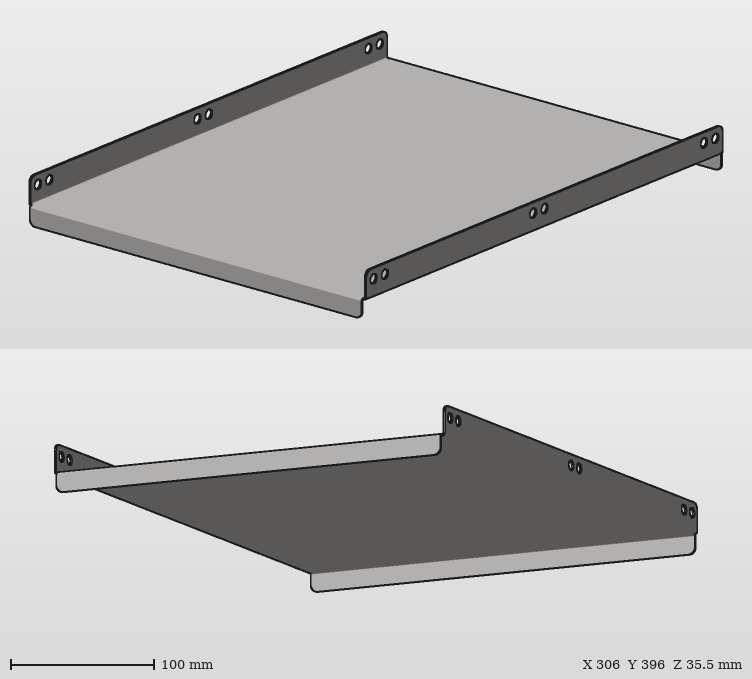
import cadquery as cq

THICKNESS = 1.5
INNER_BEND = 1.0
OUTER_BEND = INNER_BEND + THICKNESS

WIDTH = 306.0
LENGTH = 396.0
SIDE_FLANGE_HEIGHT = 22.0
END_FLANGE_DEPTH = 15.0
CORNER_RADIUS = 5.0

FLAT_WIDTH = WIDTH - 2 * OUTER_BEND
FLAT_LENGTH = LENGTH - 2 * OUTER_BEND

HOLE_DIAMETER = 7.3
HOLE_DROP = 8.0
HOLE_PITCH = 12.5
HOLE_END_MARGIN = 8.0


def flange_profile(bend_start, height):
    """L-shaped strip that leaves the flat plate at bend_start and folds towards +height.

    Local x runs outwards from the middle of the plate; local y is measured
    from the plate face on the outside of the bend.
    """
    outer_face = bend_start + OUTER_BEND
    inner_face = bend_start + INNER_BEND
    return (
        cq.Workplane("XZ")
        .moveTo(bend_start, 0)
        .radiusArc((outer_face, OUTER_BEND), -OUTER_BEND)
        .lineTo(outer_face, height)
        .lineTo(inner_face, height)
        .lineTo(inner_face, OUTER_BEND)
        .radiusArc((bend_start, THICKNESS), INNER_BEND)
        .close()
    )


def make_flange(bend_start, height, length):
    """Upward flange on the +X side, centred along Y, resting on Z = 0."""
    flange = flange_profile(bend_start, height).extrude(length / 2, both=True)
    return flange.edges("|X").edges(">Z").fillet(CORNER_RADIUS)


def make_side_holes():
    """Cylinders along X that pierce both side flanges.

    There are three pairs: one near each end, and one with its first hole on
    the centre line; the second hole of each pair is one pitch towards -Y.
    """
    outermost = FLAT_LENGTH / 2 - HOLE_END_MARGIN
    pair_starts = [outermost, 0, -outermost + HOLE_PITCH]
    hole_height = SIDE_FLANGE_HEIGHT - HOLE_DROP
    centres = []
    for start in pair_starts:
        centres.append((start, hole_height))
        centres.append((start - HOLE_PITCH, hole_height))
    return cq.Workplane("YZ").pushPoints(centres).circle(HOLE_DIAMETER / 2).extrude(WIDTH, both=True)


plate = cq.Workplane("XY").box(FLAT_WIDTH, FLAT_LENGTH, THICKNESS, centered=(True, True, False))

right_flange = make_flange(FLAT_WIDTH / 2, SIDE_FLANGE_HEIGHT, FLAT_LENGTH)
left_flange = right_flange.mirror("YZ")

end_flange_up = make_flange(FLAT_LENGTH / 2, END_FLANGE_DEPTH, FLAT_WIDTH)
end_flange_down = end_flange_up.mirror("XY").translate((0, 0, THICKNESS))
back_flange = end_flange_down.rotate((0, 0, 0), (0, 0, 1), 90)
front_flange = back_flange.mirror("XZ")

result = plate
for flange in (right_flange, left_flange, back_flange, front_flange):
    result = result.union(flange)
result = result.cut(make_side_holes())